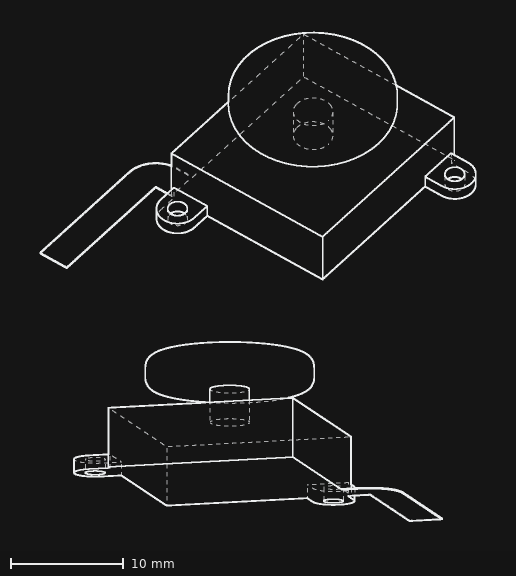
import cadquery as cq

housing_width = 17.0
housing_depth = 19.0
housing_height = 5.35

ear_width = 3.75
ear_thickness = 1.25
ear_hole_diameter = 1.75
front_ear_inset = 0.3
right_ear_inset = 0.48

ribbon_width = 3.0
ribbon_thickness = 0.1
ribbon_reach = 4.75
ribbon_drop = 12.85
ribbon_bend_radius = ribbon_width

stem_diameter = 3.5
stem_length = 3.0
cap_diameter = 15.0
cap_thickness = 3.0
cap_edge_radius = 1.0

right_side = housing_width / 2
left_side = -right_side
back_side = housing_depth / 2
front_side = -back_side


def make_ear(x, y, angle):
    """Round-ended ear rooted at (x, y), pointing along +X turned by angle."""
    radius = ear_width / 2
    ear = (
        cq.Workplane("XY")
        .moveTo(0, -radius)
        .lineTo(radius, -radius)
        .threePointArc((ear_width, 0), (radius, radius))
        .lineTo(0, radius)
        .close()
        .extrude(ear_thickness)
    )
    hole = cq.Workplane("XY").center(radius, 0).circle(ear_hole_diameter / 2).extrude(ear_thickness)
    return ear.cut(hole).rotate((0, 0, 0), (0, 0, 1), angle).translate((x, y, 0))


def make_ribbon():
    """L-shaped strip leaving the left side and turning toward the front."""
    outer_x = left_side - ribbon_reach
    back_y = front_side + ribbon_width
    end_y = front_side - ribbon_drop
    strip = (
        cq.Workplane("XY")
        .moveTo(left_side, front_side)
        .lineTo(left_side, back_y)
        .lineTo(outer_x + ribbon_bend_radius, back_y)
        .radiusArc((outer_x, back_y - ribbon_bend_radius), -ribbon_bend_radius)
        .lineTo(outer_x, end_y)
        .lineTo(outer_x + ribbon_width, end_y)
        .lineTo(outer_x + ribbon_width, front_side)
        .close()
    )
    return strip.extrude(ribbon_thickness)


def make_base():
    """Housing block with its two ears and ribbon cable."""
    block = cq.Workplane("XY").rect(housing_width, housing_depth).extrude(housing_height)
    front_ear = make_ear(left_side + front_ear_inset + ear_width / 2, front_side, -90)
    right_ear = make_ear(right_side, back_side - right_ear_inset - ear_width / 2, 0)
    return block.union(front_ear).union(right_ear).union(make_ribbon())


def make_thumbstick():
    """Stem standing on the housing, topped by a disc with rounded rims."""
    stem = cq.Workplane("XY", origin=(0, 0, housing_height)).circle(stem_diameter / 2).extrude(stem_length)
    cap_bottom = housing_height + stem_length
    cap = (
        cq.Workplane("XY", origin=(0, 0, cap_bottom))
        .circle(cap_diameter / 2)
        .extrude(cap_thickness)
        .edges("%CIRCLE")
        .fillet(cap_edge_radius)
    )
    return stem.union(cap)


base = make_base()
thumbstick = make_thumbstick()
result = cq.Compound.makeCompound([base.val(), thumbstick.val()])